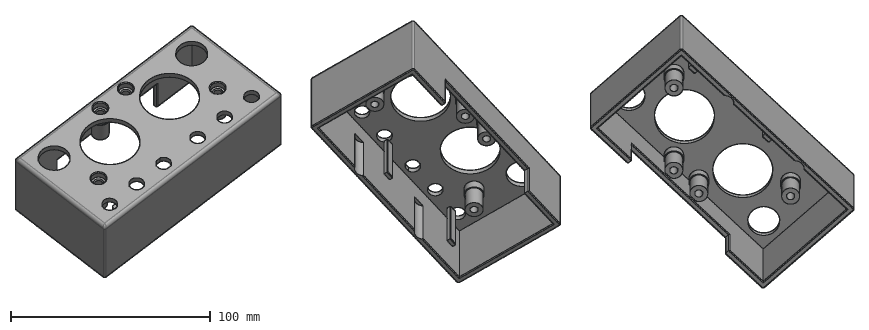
import cadquery as cq
import math

length_x = 64.0
length_y = 125.0
height = 40.0
wall = 3.0
top_edge_radius = 2.0
corner_radius = 1.0
edge_chamfer = 0.5

notch_width = 70.0
notch_height = 18.0

corner_hole_diameter = 16.0
corner_hole_x = -18.0
corner_hole_y = 48.5
large_hole_diameter = 30.0
large_hole_x = -6.0
large_hole_y = 21.0
socket_diameter = 7.8
flat_socket_width = 7.4
socket_x = 23.0
socket_pitch = 19.0
socket_group_y = 31.0

outer_post_x = 7.0
outer_post_y = 42.0
inner_post_x = -25.0
inner_post_y = 9.0
post_diameter = 9.0
post_bottom = 20.5
collar_diameter = 10.0
collar_bottom = 32.3
screw_hole_diameter = 4.0
screw_hole_chamfer = 0.6
head_recess_diameter = 7.5
head_recess_depth = 3.6
head_recess_chamfer = 0.5

groove_y = 25.3
groove_radius = 4.5
groove_width = 7.1
groove_top = 26.4

tab_x = 23.0
tab_thickness = 2.2
tab_width = 4.7
tab_bottom = 11.0
tab_chamfer = 0.4
tab_row_high_y = 9.4
tab_row_low_y = -48.6

plate_bottom = height - wall
inner_x = length_x / 2 - wall
sides = (-1, 1)


def upright_cylinder(x, y, z_low, z_high, diameter):
    """Cylinder along Z between two heights."""
    base = cq.Workplane("XY", origin=(x, y, z_low))
    return base.circle(diameter / 2).extrude(z_high - z_low)


def chamfered_hole(x, y, z_low, z_high, diameter, chamfer):
    """Cutter for a round hole whose upper rim is chamfered at 45 degrees."""
    hole = upright_cylinder(x, y, z_low, z_high, diameter)
    rim = cq.Workplane("XY", origin=(x, y, z_high)).circle(diameter / 2 + chamfer)
    return hole.union(rim.extrude(-chamfer, taper=45))


def make_shell():
    """Rounded box hollowed from below, its foot chamfered outside and inside."""
    block = cq.Workplane("XY").box(length_x, length_y, height, centered=(True, True, False))
    block = block.edges("|Z").fillet(corner_radius)
    block = block.faces(">Z").edges().fillet(top_edge_radius)
    block = block.faces("<Z").edges().chamfer(edge_chamfer)
    cavity_x = length_x - 2 * wall
    cavity_y = length_y - 2 * wall
    cavity = cq.Workplane("XY").rect(cavity_x, cavity_y).extrude(plate_bottom)
    rim = cq.Workplane("XY").rect(cavity_x + 2 * edge_chamfer, cavity_y + 2 * edge_chamfer)
    return block.cut(cavity).cut(rim.extrude(edge_chamfer, taper=45))


def cut_notch(body):
    """Notch through the -X wall, chamfered on both faces; the cutters reach below the foot."""
    outer_face = cq.Workplane("YZ", origin=(-length_x / 2, 0, 0))
    inner_face = cq.Workplane("YZ", origin=(-inner_x, 0, 0))
    rim_width = notch_width + 2 * edge_chamfer
    rim_height = notch_height + edge_chamfer
    opening = outer_face.rect(notch_width, 2 * notch_height).extrude(wall)
    outer_rim = outer_face.rect(rim_width, 2 * rim_height).extrude(edge_chamfer, taper=45)
    inner_rim = inner_face.rect(rim_width, 2 * rim_height).extrude(-edge_chamfer, taper=45)
    return body.cut(opening).cut(outer_rim).cut(inner_rim)


def cut_plate_hole(body, x, y, diameter):
    return body.cut(upright_cylinder(x, y, plate_bottom, height, diameter))


def cut_flat_socket(body, y):
    """Socket hole with two flats facing along X."""
    round_hole = upright_cylinder(socket_x, y, plate_bottom, height, socket_diameter)
    flats = cq.Workplane("XY", origin=(socket_x, y, plate_bottom))
    flats = flats.rect(flat_socket_width, socket_diameter).extrude(wall)
    return body.cut(round_hole.intersect(flats))


def cut_openings(body):
    for side in sides:
        body = cut_plate_hole(body, corner_hole_x, side * corner_hole_y, corner_hole_diameter)
        body = cut_plate_hole(body, large_hole_x, side * large_hole_y, large_hole_diameter)

    flat_socket_y = -socket_group_y + socket_pitch
    for side in sides:
        for step in (-1, 0, 1):
            y = side * socket_group_y + step * socket_pitch
            if y != flat_socket_y:
                body = cut_plate_hole(body, socket_x, y, socket_diameter)
    return cut_flat_socket(body, flat_socket_y)


def add_post(body, x, y):
    """Post with a wider collar, bored for a screw with a recessed head."""
    body = body.union(upright_cylinder(x, y, post_bottom, plate_bottom, post_diameter))
    body = body.union(upright_cylinder(x, y, collar_bottom, plate_bottom, collar_diameter))
    seat = height - head_recess_depth
    screw_hole = chamfered_hole(x, y, post_bottom, seat, screw_hole_diameter, screw_hole_chamfer)
    head_recess = chamfered_hole(x, y, seat, height, head_recess_diameter, head_recess_chamfer)
    return body.cut(screw_hole).cut(head_recess)


def add_posts(body):
    for side in sides:
        body = add_post(body, outer_post_x, side * outer_post_y)
        body = add_post(body, inner_post_x, side * inner_post_y)
    return body


def cut_grooves(body):
    """Shallow round grooves that run up the wall from the foot."""
    axis_x = inner_x - math.sqrt(groove_radius**2 - (groove_width / 2) ** 2)
    for side in sides:
        body = body.cut(
            upright_cylinder(axis_x, side * groove_y, 0, groove_top, 2 * groove_radius)
        )
    return body


def add_tab(body, y_low):
    """Tab with its -X face chamfered along the sides and the lower end."""
    tab = cq.Workplane("XY", origin=(tab_x, y_low, tab_bottom))
    tab = tab.box(tab_thickness, tab_width, plate_bottom - tab_bottom, centered=False)
    tab = tab.faces("<X").edges("|Z or <Z").chamfer(tab_chamfer)
    return body.union(tab)


def add_tabs(body):
    """One tab at each end of the row, their outer sides on the row's limits."""
    body = add_tab(body, tab_row_high_y - tab_width)
    return add_tab(body, tab_row_low_y)


body = make_shell()
body = cut_notch(body)
body = cut_openings(body)
body = add_posts(body)
body = cut_grooves(body)
result = add_tabs(body)